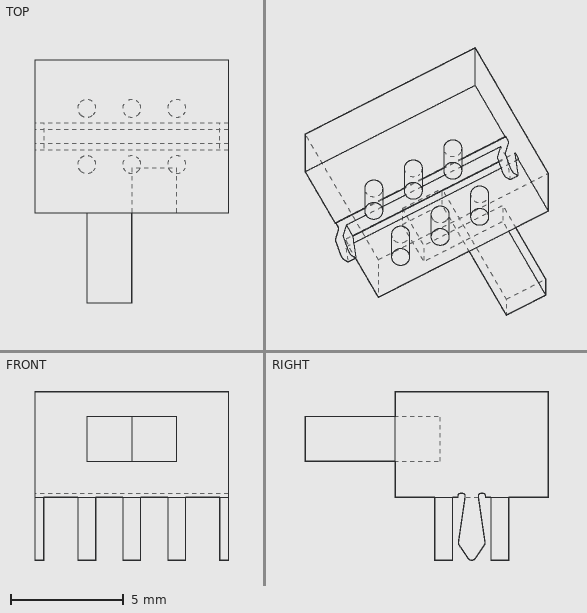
import cadquery as cq
import math


body_length = 8.6
body_depth = 6.8
body_height = 4.7

lever_size = 2.0
lever_reach = 10.8 - body_depth
window_length = 2 * lever_size
window_depth = lever_size
window_bottom = 1.6

pin_diameter = 0.8
pin_length = 7.5 - body_height
pin_columns = 3
pin_rows = 2
column_pitch = 2.0
row_pitch = 2.5

clip_thickness = 0.4
clip_neck_half_width = 0.3
clip_shoulder_half_width = 0.6
clip_tip_half_angle = math.radians(34)
clip_corner_radius = 0.2

groove_width = 0.3
groove_depth = 0.17
groove_corner_radius = 0.1

front_y = -body_depth / 2


def make_housing():
    return cq.Workplane("XY").box(
        body_length, body_depth, body_height, centered=(True, True, False)
    )


def make_window():
    return (
        cq.Workplane("XY")
        .box(window_length, window_depth, lever_size, centered=(True, False, False))
        .translate((0, front_y, window_bottom))
    )


def make_lever():
    """Lever at the -X end of its travel, rooted on the window floor."""
    lever_length = lever_reach + window_depth
    return (
        cq.Workplane("XY")
        .box(lever_size, lever_length, lever_size, centered=False)
        .translate((-window_length / 2, front_y - lever_reach, window_bottom))
    )


def make_pins():
    return (
        cq.Workplane("XY")
        .rarray(column_pitch, row_pitch, pin_columns, pin_rows)
        .circle(pin_diameter / 2)
        .extrude(-pin_length)
    )


def make_clip(start_x):
    """Arrow-shaped clip whose rounded tip ends level with the pins."""
    sharp_tip_overrun = clip_corner_radius * (1 / math.sin(clip_tip_half_angle) - 1)
    tip_z = -pin_length - sharp_tip_overrun
    shoulder_z = tip_z + clip_shoulder_half_width / math.tan(clip_tip_half_angle)
    outline = [
        (-clip_neck_half_width, 0),
        (-clip_shoulder_half_width, shoulder_z),
        (0, tip_z),
        (clip_shoulder_half_width, shoulder_z),
        (clip_neck_half_width, 0),
    ]
    clip = cq.Workplane("YZ").polyline(outline).close().extrude(clip_thickness)
    lower_edges = cq.selectors.BoxSelector(
        (-clip_thickness, -body_depth, tip_z - 0.11),
        (2 * clip_thickness, body_depth, shoulder_z / 2),
    )
    clip = clip.edges("|X").edges(lower_edges).fillet(clip_corner_radius)
    return clip.translate((start_x, 0, 0))


def make_groove(side):
    """Round-cornered groove through the full length of the underside."""
    center_y = side * (clip_neck_half_width + groove_width / 2)
    return (
        cq.Workplane("XY")
        .box(body_length, groove_width, groove_depth, centered=(True, True, False))
        .edges("|X and >Z")
        .fillet(groove_corner_radius)
        .translate((0, center_y, 0))
    )


result = make_housing().cut(make_window()).union(make_lever()).union(make_pins())

for clip_start_x in (-body_length / 2, body_length / 2 - clip_thickness):
    result = result.union(make_clip(clip_start_x))

for groove_side in (-1, 1):
    result = result.cut(make_groove(groove_side))